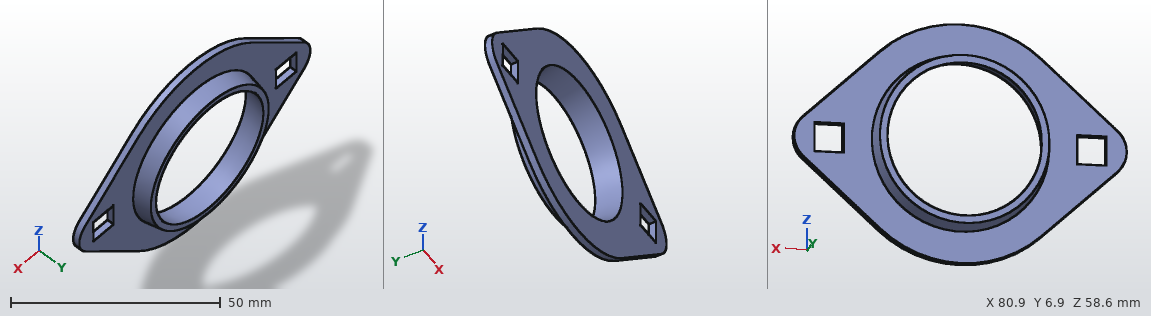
import cadquery as cq
import math

length = 80.9
height = 58.65
depth = 6.9
plate_thickness = 2.0

ear_radius = 6.7
hole_spacing = 63.9
hole_side = 7.1

bore_front_radius = 20.0
bore_back_radius = 18.8
collar_base_radius = 21.6
collar_rim_radius = 20.6

body_radius = height / 2
ear_center = length / 2 - ear_radius

normal_x = (body_radius - ear_radius) / ear_center
normal_z = math.sqrt(1 - normal_x**2)
body_x = body_radius * normal_x
body_z = body_radius * normal_z
ear_x = ear_center + ear_radius * normal_x
ear_z = ear_radius * normal_z


def make_plate():
    """Rounded rhombic plate with a square bolt hole in each ear."""
    outline = (
        cq.Workplane("XZ")
        .moveTo(-body_x, body_z)
        .threePointArc((0, body_radius), (body_x, body_z))
        .lineTo(ear_x, ear_z)
        .threePointArc((length / 2, 0), (ear_x, -ear_z))
        .lineTo(body_x, -body_z)
        .threePointArc((0, -body_radius), (-body_x, -body_z))
        .lineTo(-ear_x, -ear_z)
        .threePointArc((-length / 2, 0), (-ear_x, ear_z))
        .close()
    )
    plate = outline.extrude(-plate_thickness)
    holes = (
        cq.Workplane("XZ")
        .pushPoints([(-hole_spacing / 2, 0), (hole_spacing / 2, 0)])
        .rect(hole_side, hole_side)
        .extrude(-plate_thickness)
    )
    return plate.cut(holes)


def make_cone(start_y, start_radius, end_radius):
    """Tapered plug about the Y axis, from start_y to the collar rim."""
    return cq.Workplane(
        cq.Solid.makeCone(
            start_radius, end_radius, depth - start_y,
            pnt=cq.Vector(0, start_y, 0), dir=cq.Vector(0, 1, 0),
        )
    )


collar = make_cone(plate_thickness, collar_base_radius, collar_rim_radius)
bore = make_cone(0, bore_front_radius, bore_back_radius)

result = make_plate().union(collar).cut(bore)